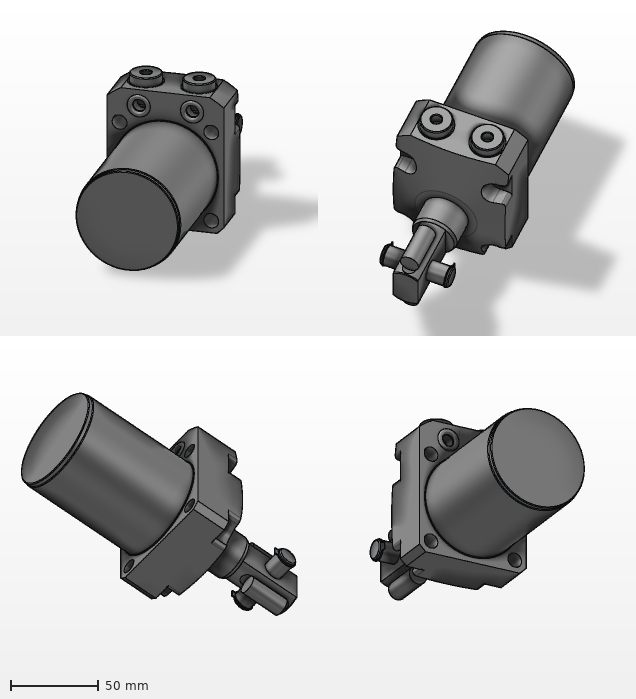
import cadquery as cq
import math


block_half_width = 35.01
block_top = 49.0
block_length = 37.5
top_turn_radius = 55.8
bottom_chamfer = 4.0
nose_flat_radius = 19.5
nose_angle = math.radians(15)

barrel_radius = 31.3
barrel_length = 77.7
cap_length = 3.3
cap_step = 0.5
cap_edge_chamfer = 0.5
collar_radius = 31.8
collar_height = 0.5

bolt_offset = 27.5
bolt_hole_radius = 4.43
counterbore_radius = 7.1
counterbore_floor = 23.0
counterbore_lip_radius = 2.5

port_offset = 16.0
port_y = 14.8
port_radius = 6.6
port_bottom = 34.8
spotface_radius = 10.6
spotface_depth = 0.5
face_port_z = 39.0
ring_section_radius = 1.5
ring_pocket_radius = 7.0
ring_protrusion = 1.0
face_port_radius = ring_pocket_radius - 2 * ring_section_radius
plug_head_radius = 9.5
plug_top = 54.12
plug_chamfer = 0.6
plug_shank_bottom = 36.3
socket_radius = 3.1
socket_depth = 6.0
socket_chamfer = 0.5

rod_radius = 13.9
rod_shoulder = 56.0
rod_chamfer_length = 2.0
rod_chamfer_depth = 0.9
head_radius = 13.2
head_half_width = 7.73
rod_end = 96.0
head_end_chamfer = 0.5

roller_radius = 5.65
roller_axis_z = 16.7
roller_center_y = 78.0
roller_length = 25.0

pin_y = 78.45
pin_radius = 6.0
pin_half_length = 21.4
pin_chamfer = 0.7
clip_x = 19.37
clip_thickness = 0.7
clip_radius = 6.6
clip_lug_reach = 8.43
clip_lug_half_width = 2.5


def cylinder_along_y(radius, y_start, y_end, x=0.0, z=0.0):
    solid = cq.Solid.makeCylinder(radius, y_end - y_start, cq.Vector(x, y_start, z), cq.Vector(0, 1, 0))
    return cq.Workplane(solid)


def cylinder_along_z(radius, z_start, z_end, x, y):
    return cq.Workplane(cq.Solid.makeCylinder(radius, z_end - z_start, cq.Vector(x, y, z_start)))


def turned_about_y(profile):
    """Revolve (radius, y) points about the Y axis."""
    return cq.Workplane("XY").polyline(profile).close().revolve(360, (0, 0, 0), (0, 1, 0))


def make_block():
    height = block_top + block_half_width
    block = (
        cq.Workplane("XY")
        .box(2 * block_half_width, block_length, height, centered=(True, False, False))
        .translate((0, 0, -block_half_width))
        .edges("|Y and <Z").chamfer(bottom_chamfer)
    )
    nose_drop = (top_turn_radius - nose_flat_radius) * math.tan(nose_angle)
    envelope = turned_about_y([
        (0, 0),
        (top_turn_radius, 0),
        (top_turn_radius, block_length - nose_drop),
        (nose_flat_radius, block_length),
        (0, block_length),
    ])
    return block.intersect(envelope)


def make_barrel():
    cap_radius = barrel_radius - cap_step
    return turned_about_y([
        (0, 0),
        (collar_radius, 0),
        (collar_radius, -collar_height),
        (barrel_radius, -collar_height),
        (barrel_radius, cap_length - barrel_length),
        (cap_radius, cap_length - cap_step - barrel_length),
        (cap_radius, cap_edge_chamfer - barrel_length),
        (cap_radius - cap_edge_chamfer, -barrel_length),
        (0, -barrel_length),
    ])


def make_upper_counterbore():
    """Counterbore that runs out through the side of the block between two rounded lips."""
    r = counterbore_radius
    lip = counterbore_lip_radius
    edge = block_half_width - bolt_offset
    diagonal = math.sqrt(0.5)
    lip_middle = (edge - lip + lip * diagonal, r + lip - lip * diagonal)
    return (
        cq.Workplane("XZ", origin=(bolt_offset, counterbore_floor, bolt_offset))
        .moveTo(0, r)
        .lineTo(edge - lip, r)
        .threePointArc(lip_middle, (edge, r + lip))
        .lineTo(edge, -r - lip)
        .threePointArc((lip_middle[0], -lip_middle[1]), (edge - lip, -r))
        .lineTo(0, -r)
        .threePointArc((-r, 0), (0, r))
        .close()
        .extrude(-block_length)
    )


def make_lower_counterbore():
    """Counterbore that opens the bottom corner of the block.

    One lip runs out on the side and one on the underside, each tangent to the counterbore and to its face.
    """
    r = counterbore_radius
    lip = counterbore_lip_radius
    edge = block_half_width - bolt_offset
    lip_angle = math.asin((edge - lip) / (r + lip))
    lip_reach = (r + lip) * math.cos(lip_angle)
    start = (r * math.sin(lip_angle), r * math.cos(lip_angle))
    turn = (lip_angle + math.pi / 2) / 2
    middle = (edge - lip + lip * math.sin(turn - lip_angle), lip_reach - lip * math.cos(turn - lip_angle))
    diagonal = r * math.sqrt(0.5)
    return (
        cq.Workplane("XZ", origin=(bolt_offset, counterbore_floor, -bolt_offset))
        .moveTo(*start)
        .threePointArc(middle, (edge, lip_reach))
        .lineTo(edge, -edge)
        .lineTo(-lip_reach, -edge)
        .threePointArc((-middle[1], -middle[0]), (-start[1], -start[0]))
        .threePointArc((-diagonal, diagonal), start)
        .close()
        .extrude(-block_length)
    )


def cut_mounting_holes(body):
    for z in (-bolt_offset, bolt_offset):
        hole = cylinder_along_y(bolt_hole_radius, 0, block_length, bolt_offset, z)
        body = body.cut(hole).cut(hole.mirror("YZ"))
    for counterbore in (make_upper_counterbore(), make_lower_counterbore()):
        body = body.cut(counterbore).cut(counterbore.mirror("YZ"))
    return body


def cut_ports(body):
    pocket_depth = 2 * ring_section_radius - ring_protrusion
    for side in (-1, 1):
        x = side * port_offset
        body = body.cut(cylinder_along_z(port_radius, port_bottom, block_top, x, port_y))
        body = body.cut(cylinder_along_z(spotface_radius, block_top - spotface_depth, block_top, x, port_y))
        body = body.cut(cylinder_along_y(ring_pocket_radius, 0, pocket_depth, x, face_port_z))
        body = body.cut(cylinder_along_y(face_port_radius, 0, port_y, x, face_port_z))
    return body


def make_rod():
    rod = turned_about_y([
        (0, block_length),
        (rod_radius, block_length),
        (rod_radius, rod_shoulder - rod_chamfer_length),
        (rod_radius - rod_chamfer_depth, rod_shoulder),
        (head_radius, rod_shoulder),
        (head_radius, rod_end - head_end_chamfer),
        (head_radius - head_end_chamfer, rod_end),
        (0, rod_end),
    ])
    head_length = rod_end - rod_shoulder
    for side in (-1, 1):
        flat = cq.Workplane("XY").box(head_radius, head_length, 2 * head_radius, centered=(True, False, True))
        rod = rod.cut(flat.translate((side * (head_half_width + head_radius / 2), rod_shoulder, 0)))
    return rod


def add_roller(body, side):
    """Roller lying in a ball-ended groove of its own radius, above or below the rod head."""
    y_start = roller_center_y - roller_length / 2
    y_end = roller_center_y + roller_length / 2
    z = side * roller_axis_z
    for y in (y_start, y_end):
        body = body.cut(cq.Workplane("XY").sphere(roller_radius).translate((0, y, z)))
    return body.union(cylinder_along_y(roller_radius, y_start, y_end, 0, z))


def make_cross_pin():
    pin = cq.Workplane("YZ").circle(pin_radius).extrude(pin_half_length, both=True)
    pin = pin.faces("<X or >X").chamfer(pin_chamfer)
    for side in (-1, 1):
        clip = cq.Workplane("YZ").circle(clip_radius).extrude(clip_thickness / 2, both=True)
        lug = cq.Workplane("XY").box(
            clip_thickness, clip_lug_reach, 2 * clip_lug_half_width, centered=(True, False, True)
        )
        clip = clip.union(lug.translate((0, -clip_lug_reach, 0)))
        pin = pin.union(clip.translate((side * clip_x, 0, 0)))
    return pin.translate((0, pin_y, 0))


def make_cylinder_unit():
    body = make_block().union(make_barrel())
    body = cut_mounting_holes(body)
    body = cut_ports(body)
    rod = make_rod()
    for side in (-1, 1):
        rod = add_roller(rod, side)
    rod = rod.union(make_cross_pin())
    return body.union(rod)


def make_plug(side):
    """Screw plug: a flanged head with a socket and a shank that fills the port."""
    seat = block_top - spotface_depth
    plug = cylinder_along_z(plug_head_radius, seat, plug_top, 0, 0).faces(">Z").edges().chamfer(plug_chamfer)
    plug = plug.union(cylinder_along_z(port_radius, plug_shank_bottom, seat, 0, 0))
    socket = cylinder_along_z(socket_radius, plug_top - socket_depth, plug_top, 0, 0)
    tip = cq.Solid.makeCone(socket_radius, 0, socket_radius, cq.Vector(0, 0, plug_top - socket_depth),
                            cq.Vector(0, 0, -1))
    mouth = cq.Solid.makeCone(socket_radius + socket_chamfer, socket_radius, socket_chamfer,
                              cq.Vector(0, 0, plug_top), cq.Vector(0, 0, -1))
    plug = plug.cut(socket).cut(cq.Workplane(tip)).cut(cq.Workplane(mouth))
    return plug.translate((side * port_offset, port_y, 0))


def make_sealing_ring(side):
    ring_radius = ring_pocket_radius - ring_section_radius
    center = cq.Vector(side * port_offset, ring_section_radius - ring_protrusion, face_port_z)
    return cq.Workplane(cq.Solid.makeTorus(ring_radius, ring_section_radius, center, cq.Vector(0, 1, 0)))


cylinder_unit = make_cylinder_unit()
plugs = [make_plug(side) for side in (-1, 1)]
sealing_rings = [make_sealing_ring(side) for side in (-1, 1)]

result = cq.Compound.makeCompound([
    cylinder_unit.val(),
    *[plug.val() for plug in plugs],
    *[ring.val() for ring in sealing_rings],
])